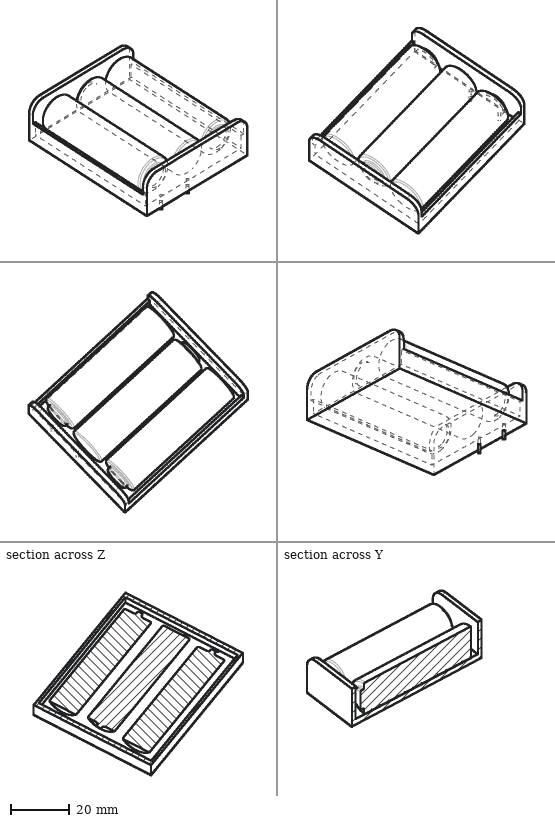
import cadquery as cq
import math

length = 58.0
width = 48.0
end_wall_height = 17.0
side_wall_height = 8.35
end_wall = 1.85
side_wall = 1.15
corner_radius = 5.0

cell_diameter = 14.0
cell_length = 49.4
cell_edge_radius = 0.5
cell_pitch = 14.95
cell_top_gap = 0.3
middle_cell_shift = -0.45
terminal_diameter = 8.7
terminal_length = 1.6
terminal_edge_radius = 0.45
terminal_root_radius = 0.4

cell_axis_z = end_wall_height - cell_top_gap - cell_diameter / 2
floor = cell_axis_z - cell_diameter / 2

pin_diameter = 1.0
pin_drop = 3.2
pin_x = 26.6
pin_spacing = 12.75
first_pin_y = -cell_pitch
pin_places = [(pin_x, first_pin_y), (pin_x, first_pin_y + pin_spacing)]


def make_holder():
    inner_length = length - 2 * end_wall
    body = (
        cq.Workplane("XY")
        .box(length, width, end_wall_height, centered=(True, True, False))
        .edges("|X and >Z")
        .fillet(corner_radius)
    )
    side_opening = cq.Workplane("XY", origin=(0, 0, side_wall_height)).box(
        inner_length, width, end_wall_height, centered=(True, True, False)
    )
    cavity = cq.Workplane("XY", origin=(0, 0, floor)).box(
        inner_length, width - 2 * side_wall, end_wall_height, centered=(True, True, False)
    )
    pin_holes = cq.Workplane("XY").pushPoints(pin_places).circle(pin_diameter / 2).extrude(floor)
    return body.cut(side_opening).cut(cavity).cut(pin_holes)


def make_cell(center_x, center_y, reverse):
    """Battery along X; its terminal points to +X, or to -X when reversed."""
    shoulder_x = cell_length / 2 - terminal_length
    tip_x = cell_length / 2
    end_x = -cell_length / 2
    radius = cell_diameter / 2
    terminal_radius = terminal_diameter / 2
    diagonal = math.sqrt(0.5)
    root_bulge = terminal_root_radius * (1 - diagonal)
    edge_inset = cell_edge_radius * (1 - diagonal)
    tip_inset = terminal_edge_radius * (1 - diagonal)
    cell = (
        cq.Workplane("XY")
        .moveTo(end_x, 0)
        .lineTo(end_x, radius - cell_edge_radius)
        .threePointArc((end_x + edge_inset, radius - edge_inset), (end_x + cell_edge_radius, radius))
        .lineTo(shoulder_x - cell_edge_radius, radius)
        .threePointArc(
            (shoulder_x - edge_inset, radius - edge_inset), (shoulder_x, radius - cell_edge_radius)
        )
        .lineTo(shoulder_x, terminal_radius + terminal_root_radius)
        .threePointArc(
            (shoulder_x + root_bulge, terminal_radius + root_bulge),
            (shoulder_x + terminal_root_radius, terminal_radius),
        )
        .lineTo(tip_x - terminal_edge_radius, terminal_radius)
        .threePointArc(
            (tip_x - tip_inset, terminal_radius - tip_inset),
            (tip_x, terminal_radius - terminal_edge_radius),
        )
        .lineTo(tip_x, 0)
        .close()
        .revolve(360, (0, 0, 0), (1, 0, 0))
    )
    if reverse:
        cell = cell.rotate((0, 0, 0), (0, 0, 1), 180)
    return cell.translate((center_x, center_y, cell_axis_z))


def make_pin(x, y):
    return cq.Workplane("XY", origin=(x, y, -pin_drop)).circle(pin_diameter / 2).extrude(pin_drop + floor)


holder = make_holder()

cells = []
for row in (-1, 0, 1):
    is_middle = row == 0
    shift = middle_cell_shift if is_middle else 0
    cells.append(make_cell(shift, row * cell_pitch, is_middle))

pins = [make_pin(x, y) for x, y in pin_places]

result = cq.Compound.makeCompound(
    [holder.val(), *[cell.val() for cell in cells], *[pin.val() for pin in pins]]
)